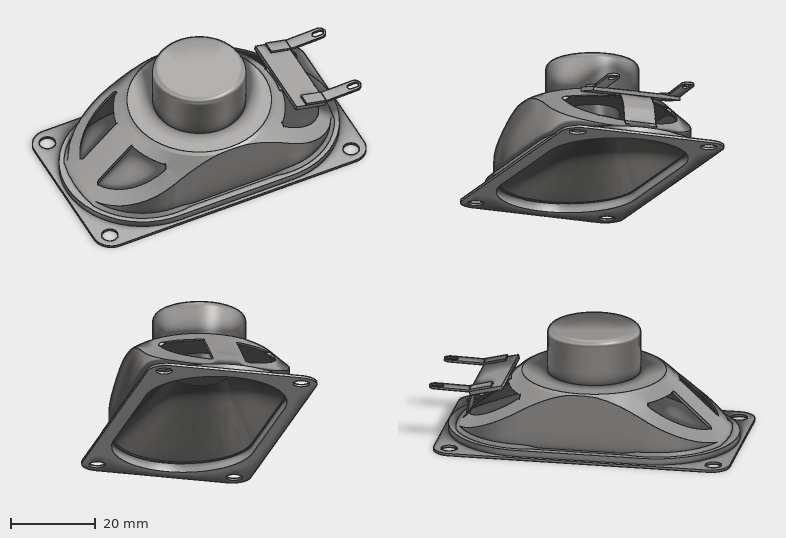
import cadquery as cq
import math

PLATE_WIDTH = 41.0
PLATE_LENGTH = 71.0
PLATE_THICKNESS = 0.6
PLATE_CORNER_RADIUS = 4.5
MOUNT_HOLE_DIAMETER = 3.9
MOUNT_HOLE_X = 16.7
MOUNT_HOLE_Y = 31.7

END_CENTRE_Y = 15.0
RIM_RADIUS = 19.6
RIM_TOP = 2.1
WALL_RADIUS = 17.55
WALL_THICKNESS = 0.65
OPENING_RADIUS = WALL_RADIUS - WALL_THICKNESS

LIP_RADIUS = 18.45
LIP_HEIGHT = 0.8
SIDE_LIP_RADIUS = 18.0
SIDE_LIP_HEIGHT = 0.2

CONE_BASE_RADIUS = 32.6
SHOULDER_RADIUS = 17.9
SHOULDER_Z = 15.9
BASKET_TOP_RADIUS = 17.05
BASKET_TOP = 16.4
CONE_ANGLE = math.atan2(SHOULDER_Z - RIM_TOP, CONE_BASE_RADIUS - SHOULDER_RADIUS)
CONE_DROP = WALL_THICKNESS / math.cos(CONE_ANGLE)

WINDOW_TOP = 13.7
WINDOW_RADIUS = 14.0
WINDOW_CENTRE_Y = 15.8
WINDOW_START_Y = 15.3
WINDOW_CORNER_RADIUS = 0.7
STRUT_HALF_WIDTH = 3.95

MAGNET_DIAMETER = 22.0
MAGNET_TOP = 27.3
MAGNET_FILLET = 1.5
COIL_DIAMETER = 13.0
COIL_BOTTOM = 12.9
NECK_STRETCH = 0.1
DIAPHRAGM_RADIUS = 17.1
DIAPHRAGM_BASE = 2.2
DIAPHRAGM_THICKNESS = 0.6

BOARD_WIDTH = 22.0
BOARD_LENGTH = 8.0
BOARD_THICKNESS = 0.95
BOARD_CENTRE = (0, 23.9, 13.45)
BOARD_TILT = -14.2
STRAP_THICKNESS = 0.4
STRAP_ROOT = (18.7, 14.35)
STRAP_BEND_START = (26.2, 12.2)
STRAP_BEND_MIDDLE = (28.25, 10.4)
STRAP_BEND_END = (29.2, 8.05)
STRAP_ANKLE = (29.8, 4.7)
STRAP_TOE = (30.6, 3.65)
LUG_WIDTH = 3.0
LUG_THICKNESS = 0.5
LUG_PAD_LENGTH = 5.35
LUG_TIP_Y = 37.7
LUG_TIP_Z = 13.3
LUG_LENGTH = 10.1
LUG_TILT = 1.5
LUG_SLOT_WIDTH = 1.5
LUG_SLOT_LENGTH = 2.9
LUG_SLOT_MARGIN = 0.45
LUG_INSET = 0.1
LUG_X = (BOARD_WIDTH - LUG_WIDTH) / 2 - LUG_INSET


def racetrack(radius, z):
    """Workplane at height z holding a racetrack along Y with the given end radius."""
    length = 2 * (END_CENTRE_Y + radius)
    return cq.Workplane("XY").workplane(offset=z).slot2D(length, 2 * radius, 90)


def make_base():
    """Mounting plate with a raised racetrack rim around the open front."""
    plate = (
        cq.Workplane("XY")
        .rect(PLATE_WIDTH, PLATE_LENGTH)
        .extrude(PLATE_THICKNESS)
        .edges("|Z")
        .fillet(PLATE_CORNER_RADIUS)
        .faces(">Z")
        .workplane()
        .rect(2 * MOUNT_HOLE_X, 2 * MOUNT_HOLE_Y, forConstruction=True)
        .vertices()
        .hole(MOUNT_HOLE_DIAMETER)
    )
    rim = racetrack(RIM_RADIUS, 0).extrude(RIM_TOP)
    return plate.union(rim).cut(racetrack(OPENING_RADIUS, 0).extrude(RIM_TOP))


def basket_cone():
    """Cone with a bevelled shoulder below its flat top."""
    outline = [
        (0, RIM_TOP),
        (CONE_BASE_RADIUS, RIM_TOP),
        (SHOULDER_RADIUS, SHOULDER_Z),
        (BASKET_TOP_RADIUS, BASKET_TOP),
        (0, BASKET_TOP),
    ]
    return cq.Workplane("XZ").polyline(outline).close().revolve(360, (0, 0), (0, 1))


def end_opening():
    """Upright half-round prism at the -Y end, closed by a level ceiling."""
    start_y = -WINDOW_START_Y
    centre_offset = WINDOW_CENTRE_Y - WINDOW_START_Y
    half_width = math.sqrt(WINDOW_RADIUS**2 - centre_offset**2)
    return (
        cq.Workplane("XY")
        .moveTo(-half_width, start_y)
        .threePointArc((0, -WINDOW_CENTRE_Y - WINDOW_RADIUS), (half_width, start_y))
        .close()
        .extrude(WINDOW_TOP)
    )


def lip_taper(radius, height):
    """Taper angle that brings a lip of the given radius in to the wall over its height."""
    return math.degrees(math.atan2(radius - WALL_RADIUS, height))


def make_basket():
    """Hollow cone cut to the racetrack wall, with two -Y windows and one wide +Y opening."""
    cone = basket_cone()
    lip = racetrack(SIDE_LIP_RADIUS, RIM_TOP).extrude(
        SIDE_LIP_HEIGHT, taper=lip_taper(SIDE_LIP_RADIUS, SIDE_LIP_HEIGHT)
    )
    for side in (-1, 1):
        lip = lip.union(
            cq.Workplane("XY", origin=(0, side * END_CENTRE_Y, RIM_TOP))
            .circle(LIP_RADIUS)
            .extrude(LIP_HEIGHT, taper=lip_taper(LIP_RADIUS, LIP_HEIGHT))
        )
    wall = racetrack(WALL_RADIUS, RIM_TOP).extrude(BASKET_TOP - RIM_TOP)
    cavity = racetrack(OPENING_RADIUS, 0).extrude(BASKET_TOP)
    cavity = cavity.intersect(cone.translate((0, 0, -CONE_DROP)))
    shell = cone.intersect(wall.union(lip)).cut(cavity)
    opening = end_opening()
    strut = cq.Workplane("XY").box(2 * STRUT_HALF_WIDTH, 2 * PLATE_LENGTH, 2 * BASKET_TOP)
    windows = opening.cut(strut).edges("|Z").fillet(WINDOW_CORNER_RADIUS)
    return shell.cut(windows).cut(opening.mirror("XZ"))


def make_diaphragm():
    """Thin skin from the rim up to the voice coil."""
    loft = (
        racetrack(DIAPHRAGM_RADIUS, DIAPHRAGM_BASE)
        .workplane(offset=COIL_BOTTOM - DIAPHRAGM_BASE)
        .slot2D(COIL_DIAMETER + NECK_STRETCH, COIL_DIAMETER, 90)
        .loft(ruled=True)
    )
    skin = loft.cut(loft.translate((0, 0, -DIAPHRAGM_THICKNESS)))
    coil = (
        cq.Workplane("XY", origin=(0, 0, COIL_BOTTOM))
        .circle(COIL_DIAMETER / 2)
        .extrude(BASKET_TOP - COIL_BOTTOM)
    )
    return skin.union(coil)


def make_magnet():
    return (
        cq.Workplane("XY")
        .workplane(offset=BASKET_TOP - WALL_THICKNESS)
        .circle(MAGNET_DIAMETER / 2)
        .extrude(MAGNET_TOP - BASKET_TOP + WALL_THICKNESS)
        .faces(">Z")
        .edges()
        .fillet(MAGNET_FILLET)
    )


def place_on_board(body):
    """Move a body from the board's own axes to its tilted place."""
    return body.rotate((0, 0, 0), (1, 0, 0), BOARD_TILT).translate(BOARD_CENTRE)


def make_lug():
    """Solder lug: a pad lying on the board and a slotted blade reaching past the plate."""
    pad = cq.Workplane("XY").box(LUG_WIDTH, LUG_PAD_LENGTH, LUG_THICKNESS).translate(
        (0, (BOARD_LENGTH - LUG_PAD_LENGTH) / 2, (BOARD_THICKNESS + LUG_THICKNESS) / 2)
    )
    tip_centre = -LUG_WIDTH / 2
    blade = (
        cq.Workplane("XY")
        .moveTo(-LUG_WIDTH / 2, -LUG_LENGTH)
        .lineTo(-LUG_WIDTH / 2, tip_centre)
        .threePointArc((0, 0), (LUG_WIDTH / 2, tip_centre))
        .lineTo(LUG_WIDTH / 2, -LUG_LENGTH)
        .close()
        .extrude(LUG_THICKNESS / 2, both=True)
    )
    slot = (
        cq.Workplane("XY")
        .center(0, -LUG_SLOT_MARGIN - LUG_SLOT_LENGTH / 2)
        .slot2D(LUG_SLOT_LENGTH, LUG_SLOT_WIDTH, 90)
        .extrude(LUG_THICKNESS, both=True)
    )
    blade = blade.cut(slot).rotate((0, 0, 0), (1, 0, 0), LUG_TILT)
    return place_on_board(pad).union(blade.translate((0, LUG_TIP_Y, LUG_TIP_Z)))


def make_terminals():
    """Tilted board with two lugs, carried by a bent strap across the +Y opening."""
    terminals = place_on_board(cq.Workplane("XY").box(BOARD_WIDTH, BOARD_LENGTH, BOARD_THICKNESS))
    lug = make_lug()
    for side in (-1, 1):
        terminals = terminals.union(lug.translate((side * LUG_X, 0, 0)))
    path = (
        cq.Workplane("YZ")
        .moveTo(*STRAP_ROOT)
        .lineTo(*STRAP_BEND_START)
        .threePointArc(STRAP_BEND_MIDDLE, STRAP_BEND_END)
        .lineTo(*STRAP_ANKLE)
        .lineTo(*STRAP_TOE)
    )
    strap = (
        cq.Workplane("XZ", origin=(0, *STRAP_ROOT))
        .rect(2 * STRUT_HALF_WIDTH, STRAP_THICKNESS)
        .sweep(path, transition="right")
    )
    return terminals.union(strap)


result = make_base()
for body in (make_basket(), make_diaphragm(), make_magnet(), make_terminals()):
    result = result.union(body)